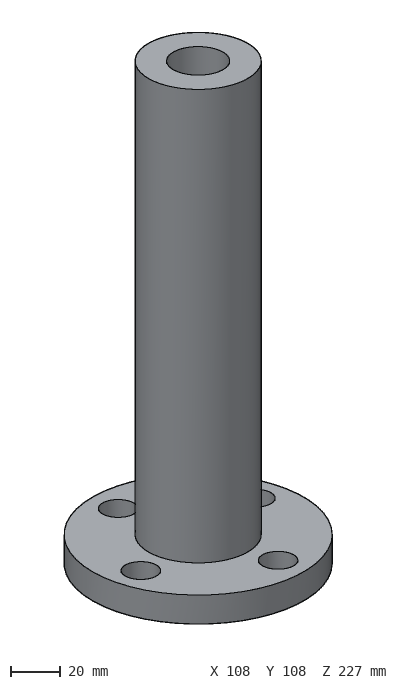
import cadquery as cq

total_height = 227.0
flange_diameter = 108.0
flange_thickness = 13.2

tube_diameter = 50.9
bore_diameter = 25.5

bolt_hole_count = 4
bolt_hole_diameter = 16.0
bolt_circle_diameter = 79.2


def make_flange():
    """Round flange resting on the XY plane, drilled for its bolts."""
    return (
        cq.Workplane("XY")
        .circle(flange_diameter / 2)
        .extrude(flange_thickness)
        .faces(">Z")
        .workplane()
        .polarArray(bolt_circle_diameter / 2, 0, 360, bolt_hole_count)
        .hole(bolt_hole_diameter)
    )


def make_tube():
    """Solid cylinder running the full height of the part."""
    return cq.Workplane("XY").circle(tube_diameter / 2).extrude(total_height)


def make_bore():
    """Cylinder to be removed along the common axis."""
    return cq.Workplane("XY").circle(bore_diameter / 2).extrude(total_height)


result = make_flange().union(make_tube()).cut(make_bore())